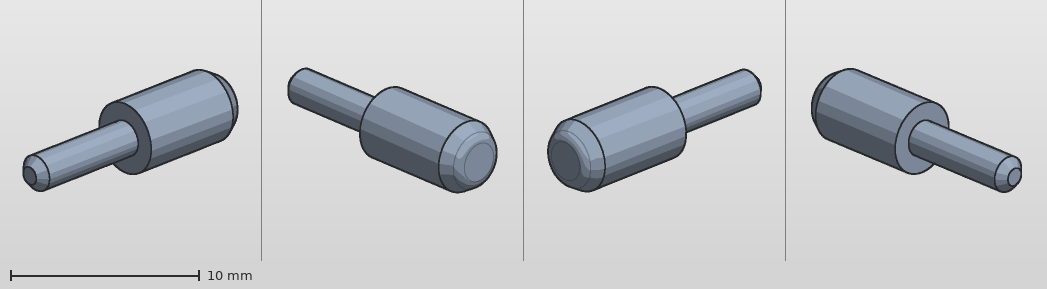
import cadquery as cq
import math

overall_length = 14.0
body_length = overall_length / 2
pin_length = overall_length - body_length
body_diameter = 2 * overall_length / 7
pin_diameter = body_diameter / 2

nose_length = 1.0
nose_half_angle = 30.0
rim_radius = 0.6
pin_chamfer = pin_diameter / 4


def make_body():
    """Cylinder with a tapered nose whose rim is rounded tangent to the flat end."""
    radius = body_diameter / 2
    angle = math.radians(nose_half_angle)
    nose_start = body_length - nose_length

    arc_start_y = body_length - rim_radius * (1 - math.sin(angle))
    arc_start_radius = radius - (arc_start_y - nose_start) * math.tan(angle)
    flat_radius = arc_start_radius - rim_radius * math.cos(angle)

    middle_angle = (angle + math.pi / 2) / 2
    arc_middle = (
        flat_radius + rim_radius * math.cos(middle_angle),
        body_length - rim_radius * (1 - math.sin(middle_angle)),
    )
    return (
        cq.Workplane("XY")
        .lineTo(radius, 0)
        .lineTo(radius, nose_start)
        .lineTo(arc_start_radius, arc_start_y)
        .threePointArc(arc_middle, (flat_radius, body_length))
        .lineTo(0, body_length)
        .close()
        .revolve(360, (0, 0, 0), (0, 1, 0))
    )


def make_pin():
    """Round pin standing on the shoulder, with a chamfered free end."""
    return (
        cq.Workplane("XZ")
        .circle(pin_diameter / 2)
        .extrude(pin_length)
        .faces("<Y")
        .chamfer(pin_chamfer)
    )


body = make_body()
pin = make_pin()

result = cq.Compound.makeCompound([body.val(), pin.val()])